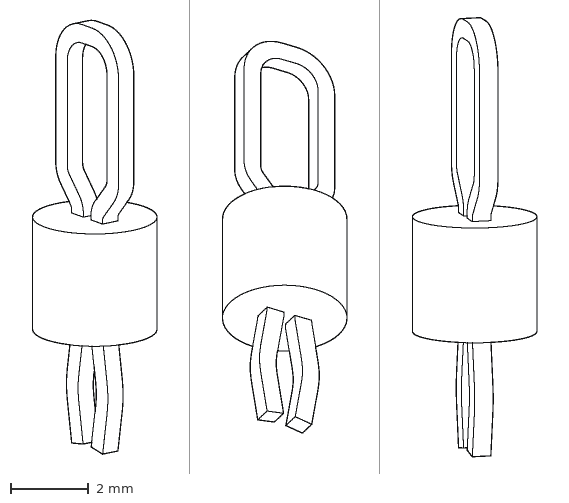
import cadquery as cq
import math

bead_diameter = 3.2
bead_height = 3.0
joint_z = bead_height / 2

wire = 0.5
neck_offset = 0.41

loop_width = 2.67
top_z = 8.13
top_radius = 0.87
shoulder_radius = 0.55
neck_radius = 0.43
neck_angle = 42
shoulder_z = bead_height + 1.22

bottom_z = -3.14
leg_angle = 9.5
exit_radius = 0.87
bow_radius = 2.12
bow_z = -1.61


def add_bend(path, start, radius, heading, turn):
    """Add an arc to path; return the path and its end. Degrees, positive turn is anticlockwise."""
    side = math.copysign(1, turn)

    def arc_point(angle):
        first = math.radians(heading)
        last = math.radians(heading + angle)
        x = start[0] + side * radius * (math.sin(last) - math.sin(first))
        z = start[1] - side * radius * (math.cos(last) - math.cos(first))
        return (x, z)

    end = arc_point(turn)
    return path.threePointArc(arc_point(turn / 2), end), end


def add_straight(path, start, length, heading):
    """Add a straight stretch of wire to path; return the path and its end."""
    angle = math.radians(heading)
    end = (start[0] + length * math.cos(angle), start[1] + length * math.sin(angle))
    return path.lineTo(*end), end


def sweep_wire(path):
    """Sweep the square wire section along a path that starts vertically inside the bead."""
    section = cq.Workplane("XY", origin=(neck_offset, 0, joint_z)).rect(wire, wire)
    return section.sweep(path)


def make_half_loop():
    angle = math.radians(neck_angle)
    side_x = (loop_width - wire) / 2
    radii = neck_radius + shoulder_radius
    slant_shift = side_x - neck_offset - radii * (1 - math.cos(angle))
    slant = slant_shift / math.sin(angle)
    neck_z = shoulder_z - radii * math.sin(angle) - slant * math.cos(angle)
    side_top_z = top_z - wire / 2 - top_radius

    path = cq.Workplane("XZ").moveTo(neck_offset, joint_z).lineTo(neck_offset, neck_z)
    path, point = add_bend(path, (neck_offset, neck_z), neck_radius, 90, -neck_angle)
    path, point = add_straight(path, point, slant, 90 - neck_angle)
    path, point = add_bend(path, point, shoulder_radius, 90 - neck_angle, neck_angle)
    path, point = add_straight(path, point, side_top_z - shoulder_z, 90)
    path, point = add_bend(path, point, top_radius, 90, 90)
    path, _ = add_straight(path, point, point[0], 180)
    return sweep_wire(path)


def make_leg():
    angle = math.radians(leg_angle)
    bow_half_height = bow_radius * math.sin(angle)
    exit_drop = exit_radius * math.sin(angle)
    upper_length = (-bow_z - bow_half_height - exit_drop) / math.cos(angle)
    end_z = bottom_z + wire / 2 * math.sin(angle)
    lower_length = (bow_z - bow_half_height - end_z) / math.cos(angle)

    path = cq.Workplane("XZ").moveTo(neck_offset, joint_z).lineTo(neck_offset, 0)
    path, point = add_bend(path, (neck_offset, 0), exit_radius, -90, leg_angle)
    path, point = add_straight(path, point, upper_length, -90 + leg_angle)
    path, point = add_bend(path, point, bow_radius, -90 + leg_angle, -2 * leg_angle)
    path, _ = add_straight(path, point, lower_length, -90 - leg_angle)
    return sweep_wire(path)


bead = cq.Workplane("XY").circle(bead_diameter / 2).extrude(bead_height)
result = bead
for half in (make_half_loop(), make_leg()):
    result = result.union(half).union(half.mirror("YZ"))